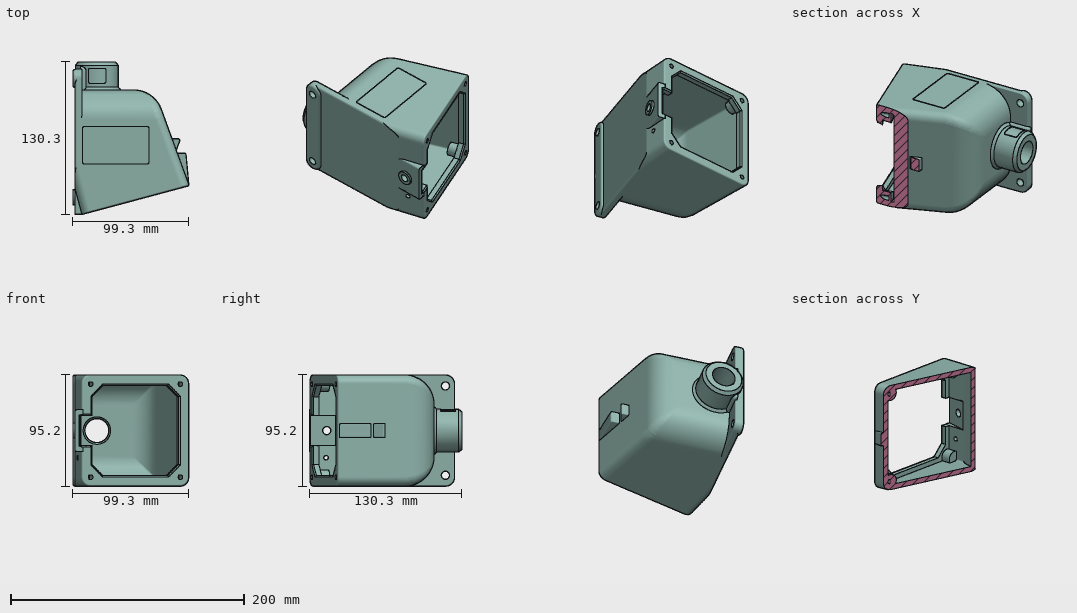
import cadquery as cq
import math

HALF_WIDTH = 47.62
ROOF_Y = 106.5
ROOF_RADIUS = 25.4
WALL = 5.0
MOUTH_ANGLE = 15
WALL_ANGLE = 20
MOUTH_CROSS_X = 6.8
HEEL_TOP_Y = 22.3
SLOPE_DISTANCE = 100.2
CORNER_RADIUS = 7.5
INNER_CORNER_RADIUS = 1.5
MOUTH_EDGE_RADIUS = 1.3
FACE_EDGE_RADIUS = 2.0

CLEARANCE = 1.3

FRAME_INSET = 8.0
FRAME_DEPTH = 5.9
CORNER_CUT = 10.3
BEVEL = 1.2
BEVEL_ANGLE = 45
SCREW_INSET = 7.8
SCREW_RADIUS = 2.0
SCREW_DEPTH = 11.7
PILLAR_RADIUS = 6.3
PILLAR_DEPTH = 14.3
NOTCH_HALF_WIDTH = 12.9
NOTCH_REACH = 3.3

PLATE_THICKNESS = 6.3
PLATE_TOP_Y = 124.0
PAD_WIDTH = 15.9
PAD_CENTRE_Y = PLATE_TOP_Y - PAD_WIDTH / 2
PAD_HEIGHT = 1.8
PAD_EDGE_RADIUS = 2.2
PLATE_BACK_RADIUS = 0.9
PLATE_HOLE_RADIUS = 3.4
PLATE_HOLE_Z = 38.2

TONGUE_HALF_WIDTH = 17.9
TONGUE_EDGE_RADIUS = 1.5
TONGUE_HOLE_Y = 14.6
TONGUE_BOSS_RADIUS = 6.45
DRAIN_Y = 14.1
DRAIN_Z = -23.2
DRAIN_RADIUS = 1.8

SOCKET_X = 18.8
SOCKET_RADIUS = 18.4
SOCKET_TOP_Y = 130.3
SOCKET_CHAMFER_LENGTH = 2.9
SOCKET_CHAMFER_DEPTH = 2.3
SOCKET_FLARE = 2.2
BORE_RADIUS = 10.2
BORE_CHAMFER = 1.5
WEB_X = 9.8
WEB_TOP_Y = 126.4
WEB_HALF_WIDTH = 17.6
WEB_TIP_RADIUS = 4.4
WEB_SIDE_RADIUS = 2.5

SIDE_LABEL = (6.5, 63.3, 43.1, 74.9)
SOCKET_LABEL = (11.5, 26.5, 112.0, 124.8)
LABEL_DEPTH = 0.4
LABEL_RADIUS = 1.3

CATCH_HALF_WIDTH = 6.0
CATCH_TIP_RADIUS = 1.5
CATCH_EDGE_RADIUS = 0.8

SIN_M = math.sin(math.radians(MOUTH_ANGLE))
COS_M = math.cos(math.radians(MOUTH_ANGLE))
TAN_M = math.tan(math.radians(MOUTH_ANGLE))
SIN_W = math.sin(math.radians(WALL_ANGLE))
COS_W = math.cos(math.radians(WALL_ANGLE))


def slope_x(y, distance=SLOPE_DISTANCE):
    """X of a plane parallel to the sloping wall at height y."""
    return (distance - y * SIN_W) / COS_W


HOOK_FOOT_Y = 54.7
HOOK_TIP = (90.4, 64.6)
HOOK_FOOT = (slope_x(HOOK_FOOT_Y), HOOK_FOOT_Y)
WEDGE_TIP = (95.0, 52.4)
WEDGE_FOOT = (97.5, 25.4)

HEEL_X = (HEEL_TOP_Y + MOUTH_CROSS_X * TAN_M) * TAN_M / (1 + TAN_M**2)
HEEL_Y = (HEEL_X - MOUTH_CROSS_X) * TAN_M
TOE_X = (SLOPE_DISTANCE + MOUTH_CROSS_X * TAN_M * SIN_W) / (COS_W + TAN_M * SIN_W)
MOUTH_LENGTH = (TOE_X - HEEL_X) / COS_M

HEEL_DIRECTION = cq.Vector(-SIN_M, COS_M, 0)

MOUTH = cq.Plane(origin=(HEEL_X, HEEL_Y, 0), xDir=(COS_M, SIN_M, 0), normal=(-SIN_M, COS_M, 0))


def block(x_min, x_max, y_min, y_max, z_min, z_max):
    """Box given by its limits along each axis."""
    return cq.Workplane("XY").box(
        x_max - x_min, y_max - y_min, z_max - z_min, centered=False
    ).translate((x_min, y_min, z_min))


def rod_x(x_min, x_max, y, z, radius):
    """Cylinder along X."""
    return cq.Workplane("YZ", origin=(x_min, y, z)).circle(radius).extrude(x_max - x_min)


def housing_form(inset, mouth_depth, corner_radius):
    """Housing form moved inwards by inset and cut off mouth_depth above the mouth plane."""
    roof_y = ROOF_Y - inset
    radius = ROOF_RADIUS - inset
    half_width = HALF_WIDTH - inset
    distance = SLOPE_DISTANCE - inset

    heel_x = HEEL_X + inset * COS_M - mouth_depth * SIN_M
    heel_y = HEEL_Y + inset * SIN_M + mouth_depth * COS_M
    mouth_cross = heel_x - heel_y / TAN_M
    toe_x = (distance + mouth_cross * TAN_M * SIN_W) / (COS_W + TAN_M * SIN_W)
    toe_y = (toe_x - mouth_cross) * TAN_M
    tilted = (
        cq.Workplane("XY", origin=(0, 0, -half_width))
        .polyline([
            (heel_x, heel_y),
            (toe_x, toe_y),
            (slope_x(PLATE_TOP_Y, distance), PLATE_TOP_Y),
            (heel_x - (PLATE_TOP_Y - heel_y) * TAN_M, PLATE_TOP_Y),
        ])
        .close()
        .extrude(2 * half_width)
    )
    tilted = tilted.edges(cq.selectors.ParallelDirSelector(HEEL_DIRECTION)).fillet(corner_radius)

    arc_x = (distance - radius - (roof_y - radius) * SIN_W) / COS_W
    arc_y = roof_y - radius
    mid_angle = math.radians((90 + WALL_ANGLE) / 2)
    outline = (
        cq.Workplane("XY", origin=(0, 0, -half_width))
        .moveTo(inset, HEEL_Y)
        .lineTo(inset, roof_y)
        .lineTo(arc_x, roof_y)
        .threePointArc(
            (arc_x + radius * math.cos(mid_angle), arc_y + radius * math.sin(mid_angle)),
            (arc_x + radius * COS_W, arc_y + radius * SIN_W),
        )
        .lineTo(slope_x(HEEL_Y, distance), HEEL_Y)
        .close()
        .extrude(2 * half_width)
    )

    section = block(-CLEARANCE, TOE_X + CLEARANCE, HEEL_Y, roof_y, -half_width, half_width)
    section = section.faces(">Y").edges("|X").fillet(radius)
    form = tilted.intersect(outline).intersect(section)

    for side in (-1, 1):
        inner_end = (arc_x, toe_y, side * (half_width - radius))
        outer_end = (TOE_X, ROOF_Y, side * (HALF_WIDTH + CLEARANCE))
        corner = cq.selectors.BoxSelector(inner_end, outer_end)
        form = form.edges(corner).fillet(corner_radius)
    return form


def rounded_face_block(top_y):
    """Block over the whole part with the long edges of the mounting face rounded."""
    whole = block(0, TOE_X + CLEARANCE, -CLEARANCE, top_y, -HALF_WIDTH, HALF_WIDTH)
    return whole.edges("<X and |Y").fillet(FACE_EDGE_RADIUS)


def plate():
    """Mounting plate behind the rounded roof edges, up to the raised pad."""
    pad = (
        cq.Workplane("YZ", origin=(-PAD_HEIGHT, PAD_CENTRE_Y, 0))
        .slot2D(2 * HALF_WIDTH, PAD_WIDTH, 90)
        .extrude(PAD_HEIGHT + PLATE_THICKNESS)
        .faces("<X").edges().fillet(PAD_EDGE_RADIUS)
        .faces(">X").edges().fillet(PLATE_BACK_RADIUS)
    )
    sheet = block(0, PLATE_THICKNESS, ROOF_Y - ROOF_RADIUS, PAD_CENTRE_Y, -HALF_WIDTH, HALF_WIDTH)
    sheet = sheet.edges(">X and |Y").fillet(PLATE_BACK_RADIUS)
    sheet = sheet.intersect(rounded_face_block(PAD_CENTRE_Y))
    return sheet.union(pad)


def tongue():
    """Straight continuation of the mounting face down to Y = 0, with a boss around its hole."""
    rail = block(0, MOUTH_CROSS_X, 0, HEEL_TOP_Y + WALL, -TONGUE_HALF_WIDTH, TONGUE_HALF_WIDTH)
    rail = rail.edges("<X and |Y").fillet(TONGUE_EDGE_RADIUS)
    return rail.union(rod_x(-PAD_HEIGHT, WALL, TONGUE_HOLE_Y, 0, TONGUE_BOSS_RADIUS))


def socket():
    """Chamfered cable socket with a flared foot and a web to the mounting plate."""
    foot_y = ROOF_Y - WALL / 2
    chamfer_y = SOCKET_TOP_Y - SOCKET_CHAMFER_LENGTH
    tube = (
        cq.Workplane("XY", origin=(SOCKET_X, 0, 0))
        .polyline([
            (0, foot_y),
            (SOCKET_RADIUS + SOCKET_FLARE, foot_y),
            (SOCKET_RADIUS + SOCKET_FLARE, ROOF_Y),
            (SOCKET_RADIUS, ROOF_Y + SOCKET_FLARE),
            (SOCKET_RADIUS, chamfer_y),
            (SOCKET_RADIUS - SOCKET_CHAMFER_DEPTH, SOCKET_TOP_Y),
            (0, SOCKET_TOP_Y),
        ])
        .close()
        .revolve(360, (0, 0, 0), (0, 1, 0))
        .intersect(block(0, TOE_X, 0, SOCKET_TOP_Y, -HALF_WIDTH, HALF_WIDTH))
    )
    web = block(WALL, WEB_X, foot_y, WEB_TOP_Y, -WEB_HALF_WIDTH, WEB_HALF_WIDTH)
    web = web.edges(">X and >Y").fillet(WEB_TIP_RADIUS)
    return tube.union(web.edges(">X and |Y").fillet(WEB_SIDE_RADIUS))


def bore():
    """Cable bore, chamfered towards the cavity."""
    inner_y = ROOF_Y - WALL
    return (
        cq.Workplane("XY", origin=(SOCKET_X, 0, 0))
        .polyline([
            (0, inner_y),
            (BORE_RADIUS + BORE_CHAMFER, inner_y),
            (BORE_RADIUS, inner_y + BORE_CHAMFER),
            (BORE_RADIUS, SOCKET_TOP_Y),
            (0, SOCKET_TOP_Y),
        ])
        .close()
        .revolve(360, (0, 0, 0), (0, 1, 0))
    )


def screw_points():
    """Screw positions in the mouth frame."""
    side = HALF_WIDTH - SCREW_INSET
    return [(x, z) for x in (SCREW_INSET, MOUTH_LENGTH - SCREW_INSET) for z in (-side, side)]


def opening_outline(margin):
    """Octagonal mouth opening, shrunk evenly by margin."""
    half_length = MOUTH_LENGTH / 2 - FRAME_INSET - margin
    half_side = HALF_WIDTH - FRAME_INSET - margin
    cut = CORNER_CUT - margin * (2 - math.sqrt(2))
    return (
        cq.Workplane(MOUTH)
        .center(MOUTH_LENGTH / 2, 0)
        .polyline([
            (half_length - cut, -half_side),
            (half_length, cut - half_side),
            (half_length, half_side - cut),
            (half_length - cut, half_side),
            (cut - half_length, half_side),
            (-half_length, half_side - cut),
            (-half_length, cut - half_side),
            (cut - half_length, -half_side),
        ])
        .close()
    )


def mouth_opening():
    """Bevelled octagonal opening through the frame, with a bevelled notch into the tongue."""
    opening = opening_outline(0).extrude(BEVEL, taper=BEVEL_ANGLE)
    opening = opening.union(opening_outline(BEVEL).extrude(FRAME_DEPTH + BEVEL))
    notch_length = NOTCH_REACH + BEVEL + FRAME_INSET
    notch_bevel = (
        cq.Workplane(MOUTH)
        .center(FRAME_INSET + BEVEL - notch_length / 2, 0)
        .rect(notch_length, 2 * (NOTCH_HALF_WIDTH + BEVEL))
        .extrude(BEVEL, taper=BEVEL_ANGLE)
    )
    notch_end = HEEL_X + FRAME_INSET + BEVEL
    notch = block(WALL, notch_end, -CLEARANCE, HEEL_TOP_Y, -NOTCH_HALF_WIDTH, NOTCH_HALF_WIDTH)
    return opening.union(notch_bevel).union(notch)


def label_cutter(label, z_min, z_max):
    """Rounded rectangular block that sinks a label field."""
    x_min, x_max, y_min, y_max = label
    return block(x_min, x_max, y_min, y_max, z_min, z_max).edges("|Z").fillet(LABEL_RADIUS)


def catch(tip, foot):
    """Catch on the sloping wall, a rounded prism along Z rooted in the wall."""
    prism = (
        cq.Workplane("XY", origin=(0, 0, -CATCH_HALF_WIDTH))
        .polyline([
            (slope_x(tip[1]) - WALL, tip[1]),
            tip,
            foot,
            (slope_x(foot[1]) - WALL, foot[1]),
        ])
        .close()
        .extrude(2 * CATCH_HALF_WIDTH)
    )
    prism = prism.faces(">Y").edges(">X").fillet(CATCH_TIP_RADIUS)
    return prism.faces(">Z or <Z").edges("not <X").fillet(CATCH_EDGE_RADIUS)


result = housing_form(0, 0, CORNER_RADIUS)
result = (
    result.faces(cq.selectors.DirectionMinMaxSelector(HEEL_DIRECTION, False))
    .edges().fillet(MOUTH_EDGE_RADIUS)
)
result = result.intersect(rounded_face_block(ROOF_Y))
result = result.union(plate()).union(socket()).union(tongue())

pillars = cq.Workplane(MOUTH).pushPoints(screw_points()).circle(PILLAR_RADIUS).extrude(PILLAR_DEPTH)
result = result.cut(housing_form(WALL, FRAME_DEPTH, INNER_CORNER_RADIUS).cut(pillars))
result = result.cut(mouth_opening()).cut(bore())

result = result.union(catch(HOOK_TIP, HOOK_FOOT)).union(catch(WEDGE_TIP, WEDGE_FOOT))

for z in (-PLATE_HOLE_Z, PLATE_HOLE_Z):
    result = result.cut(rod_x(-PAD_HEIGHT, SOCKET_X, PAD_CENTRE_Y, z, PLATE_HOLE_RADIUS))
result = result.cut(rod_x(-PAD_HEIGHT, SOCKET_X, TONGUE_HOLE_Y, 0, PLATE_HOLE_RADIUS))
result = result.cut(rod_x(-PAD_HEIGHT, SOCKET_X, DRAIN_Y, DRAIN_Z, DRAIN_RADIUS))
result = result.cut(
    cq.Workplane(MOUTH).pushPoints(screw_points()).circle(SCREW_RADIUS).extrude(SCREW_DEPTH)
)

result = result.cut(label_cutter(SIDE_LABEL, HALF_WIDTH - LABEL_DEPTH, HALF_WIDTH))
socket_core = (
    cq.Workplane("XZ", origin=(SOCKET_X, 0, 0))
    .circle(SOCKET_RADIUS - LABEL_DEPTH)
    .extrude(-SOCKET_TOP_Y)
)
result = result.cut(label_cutter(SOCKET_LABEL, 0, HALF_WIDTH).cut(socket_core))